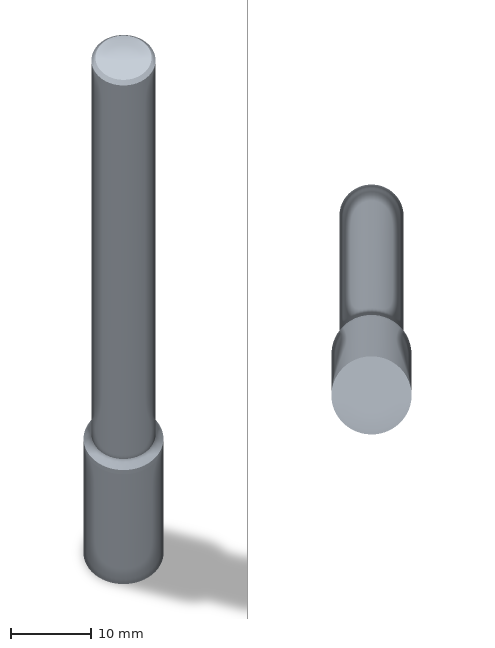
import cadquery as cq

total_length = 100.0
head_diameter = 10.0
shank_diameter = 8.0

head_length = 22.2
shoulder_top = 24.0
end_chamfer = 0.5

collar_taper = 0.02

head_radius = head_diameter / 2
shank_radius = shank_diameter / 2
collar_top_radius = head_radius - collar_taper
shoulder_chamfer = collar_top_radius - shank_radius


def make_head():
    """Plain cylinder at the lower end."""
    return cq.Workplane("XY").circle(head_radius).extrude(head_length)


def make_shank():
    """Turned shank: a short, slightly tapered collar, a conical shoulder and a long stem."""
    return (
        cq.Workplane("XZ")
        .moveTo(0, head_length)
        .lineTo(head_radius, head_length)
        .lineTo(collar_top_radius, shoulder_top - shoulder_chamfer)
        .lineTo(shank_radius, shoulder_top)
        .lineTo(shank_radius, total_length - end_chamfer)
        .lineTo(shank_radius - end_chamfer, total_length)
        .lineTo(0, total_length)
        .close()
        .revolve(360, (0, 0), (0, 1))
    )


head = make_head()
shank = make_shank()

result = cq.Compound.makeCompound([head.val(), shank.val()])